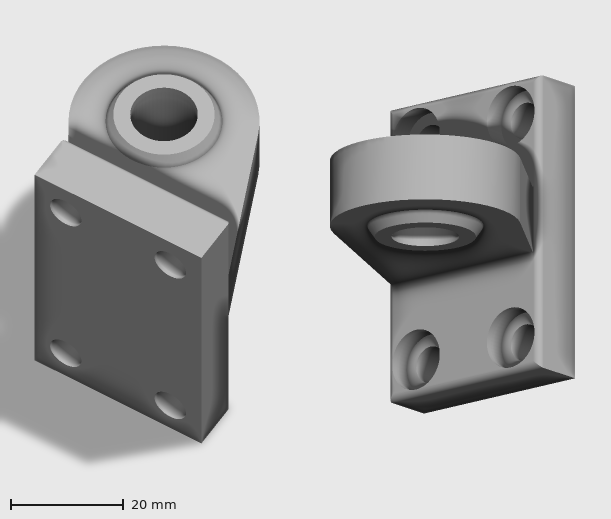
import cadquery as cq
import math

plate_width = 35.0
plate_thickness = 10.0
plate_height = 54.0
edge_radius = 1.25

hole_inset = 6.55
hole_diameter = 6.6
counterbore_diameter = 11.0
counterbore_depth = 4.0

eye_x = 4.5
eye_y = 36.0
eye_radius = 16.95
lug_thickness = 12.0
boss_base_diameter = 20.75
boss_top_diameter = 18.0
boss_height = 2.0
bore_diameter = 12.0


def make_plate():
    plate = cq.Workplane("XY").box(
        plate_width, plate_thickness, plate_height, centered=(False, False, True)
    )
    return plate.faces(">Y").edges().fillet(edge_radius)


def tangent_point(x, y, side):
    """Point where a line from (x, y) touches the eye circle; side is +1 or -1."""
    dx = x - eye_x
    dy = y - eye_y
    angle = math.atan2(dy, dx) + side * math.acos(eye_radius / math.hypot(dx, dy))
    return (eye_x + eye_radius * math.cos(angle), eye_y + eye_radius * math.sin(angle))


def make_lug():
    left_foot = (edge_radius, plate_thickness)
    right_foot = (plate_width - edge_radius, plate_thickness)
    return (
        cq.Workplane("XY", origin=(0, 0, -lug_thickness / 2))
        .moveTo(*left_foot)
        .lineTo(*right_foot)
        .lineTo(*tangent_point(*right_foot, 1))
        .threePointArc((eye_x, eye_y + eye_radius), tangent_point(*left_foot, -1))
        .close()
        .extrude(lug_thickness)
    )


def make_root_fillets():
    """Concave fillet strips along the lug's flat faces, trimmed to its slanted sides."""
    inner_z = lug_thickness / 2
    outer_z = inner_z + edge_radius
    top_y = plate_thickness + edge_radius
    arc_reach = edge_radius * (1 - math.sqrt(0.5))
    strip = (
        cq.Workplane("YZ")
        .moveTo(plate_thickness, inner_z)
        .lineTo(top_y, inner_z)
        .threePointArc((plate_thickness + arc_reach, inner_z + arc_reach), (plate_thickness, outer_z))
        .close()
        .extrude(plate_width)
    )
    lug_outline = make_lug().faces(">Z").wires().toPending().extrude(edge_radius, combine=False)
    upper = strip.intersect(lug_outline)
    return upper.union(upper.mirror("XY"))


def make_bosses():
    half_lug = lug_thickness / 2
    half_boss = half_lug + boss_height
    return (
        cq.Workplane("XZ")
        .polyline([
            (0, -half_boss),
            (boss_top_diameter / 2, -half_boss),
            (boss_base_diameter / 2, -half_lug),
            (boss_base_diameter / 2, half_lug),
            (boss_top_diameter / 2, half_boss),
            (0, half_boss),
        ])
        .close()
        .revolve(360, (0, 0), (0, 1))
        .translate((eye_x, eye_y, 0))
    )


def make_bore():
    length = lug_thickness + 2 * boss_height
    return cq.Workplane("XY").center(eye_x, eye_y).circle(bore_diameter / 2).extrude(length / 2, both=True)


def make_fixing_holes():
    hole_z = plate_height / 2 - hole_inset
    centres = [(x, z) for x in (hole_inset, plate_width - hole_inset) for z in (-hole_z, hole_z)]
    holes = cq.Workplane("XZ").pushPoints(centres).circle(hole_diameter / 2).extrude(-plate_thickness)
    counterbores = (
        cq.Workplane("XZ", origin=(0, plate_thickness, 0))
        .pushPoints(centres)
        .circle(counterbore_diameter / 2)
        .extrude(counterbore_depth)
    )
    return holes.union(counterbores)


result = (
    make_plate()
    .union(make_lug())
    .union(make_root_fillets())
    .union(make_bosses())
    .cut(make_bore())
    .cut(make_fixing_holes())
)